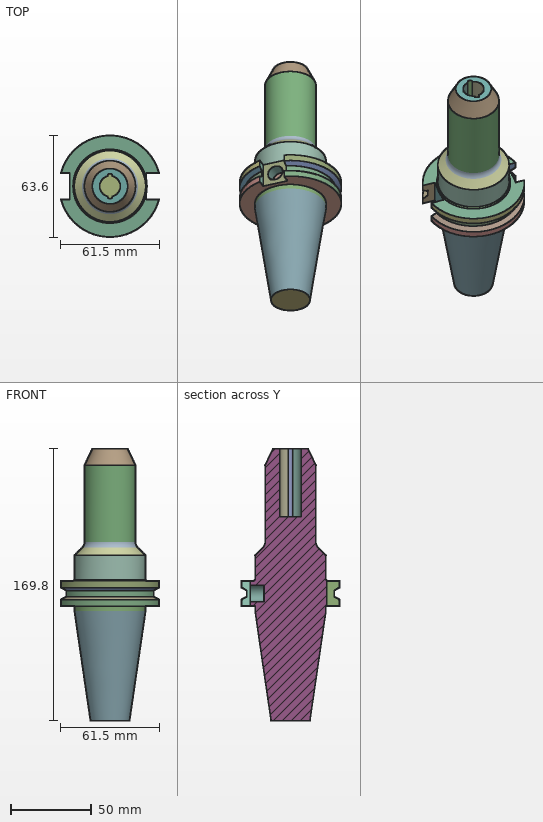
import cadquery as cq
import math

total_height = 169.8
taper_height = 68.5
taper_tip_radius = 12.2
body_radius = 22.3

flange_bottom = 71.5
flange_thickness = 15.8
flange_radius = 31.8
groove_radius = 28.5
groove_floor_width = 3.7
groove_flank_angle = 30.0
slot_width = 16.3
left_slot_floor = 25.1
right_slot_floor = 22.8
slot_hole_radius = 5.0
slot_hole_depth = 8.5
neck_chamfer = 0.8

shoulder_height = 103.3
nose_radius = 16.0
nose_fillet = 5.1
nose_chamfer_height = 10.4
nose_tip_radius = 11.0

bore_radius = 6.5
bore_depth = 42.5
coolant_groove_width = 2.9
coolant_groove_reach = 7.8

flange_top = flange_bottom + flange_thickness
flange_middle = flange_bottom + flange_thickness / 2


def revolved_body():
    """Taper, grooved flange, shoulder and nose as one revolved profile."""
    flank_height = (flange_radius - groove_radius) * math.tan(math.radians(groove_flank_angle))
    groove_half_floor = groove_floor_width / 2
    groove_half_mouth = groove_half_floor + flank_height

    sin_45 = math.sin(math.radians(45))
    fillet_center_radius = nose_radius + nose_fillet
    fillet_foot_radius = fillet_center_radius - nose_fillet * sin_45
    fillet_foot_height = shoulder_height + body_radius - fillet_foot_radius
    fillet_top = fillet_foot_height + nose_fillet * sin_45
    half_arc = math.radians(22.5)
    fillet_middle = (
        fillet_center_radius - nose_fillet * math.cos(half_arc),
        fillet_top - nose_fillet * math.sin(half_arc),
    )

    return (
        cq.Workplane("XZ")
        .moveTo(0, 0)
        .lineTo(taper_tip_radius, 0)
        .lineTo(body_radius, taper_height)
        .lineTo(body_radius, flange_bottom)
        .lineTo(flange_radius, flange_bottom)
        .lineTo(flange_radius, flange_middle - groove_half_mouth)
        .lineTo(groove_radius, flange_middle - groove_half_floor)
        .lineTo(groove_radius, flange_middle + groove_half_floor)
        .lineTo(flange_radius, flange_middle + groove_half_mouth)
        .lineTo(flange_radius, flange_top)
        .lineTo(body_radius + neck_chamfer, flange_top)
        .lineTo(body_radius, flange_top + neck_chamfer)
        .lineTo(body_radius, shoulder_height)
        .lineTo(fillet_foot_radius, fillet_foot_height)
        .threePointArc(fillet_middle, (nose_radius, fillet_top))
        .lineTo(nose_radius, total_height - nose_chamfer_height)
        .lineTo(nose_tip_radius, total_height)
        .lineTo(0, total_height)
        .close()
        .revolve(360, (0, 0, 0), (0, 1, 0))
    )


def drive_slot(side, floor):
    """Cutter for one drive slot; side is -1 or +1 along X."""
    cutter_length = flange_radius
    cutter = cq.Workplane("XY").box(cutter_length, slot_width, flange_thickness)
    return cutter.translate((side * (floor + cutter_length / 2), 0, flange_middle))


def slot_hole():
    """Blind hole in the floor of the -X slot."""
    return (
        cq.Workplane("YZ", origin=(-left_slot_floor, 0, flange_middle))
        .circle(slot_hole_radius)
        .extrude(slot_hole_depth)
    )


def tool_bore():
    """Blind bore with a coolant groove on each Y side."""
    groove_length = 2 * coolant_groove_reach
    bore_top = cq.Workplane("XY", origin=(0, 0, total_height))
    bore = bore_top.circle(bore_radius).extrude(-bore_depth)
    grooves = bore_top.slot2D(groove_length, coolant_groove_width, 90).extrude(-bore_depth)
    return bore.union(grooves)


result = (
    revolved_body()
    .cut(drive_slot(-1, left_slot_floor))
    .cut(drive_slot(1, right_slot_floor))
    .cut(slot_hole())
    .cut(tool_bore())
)